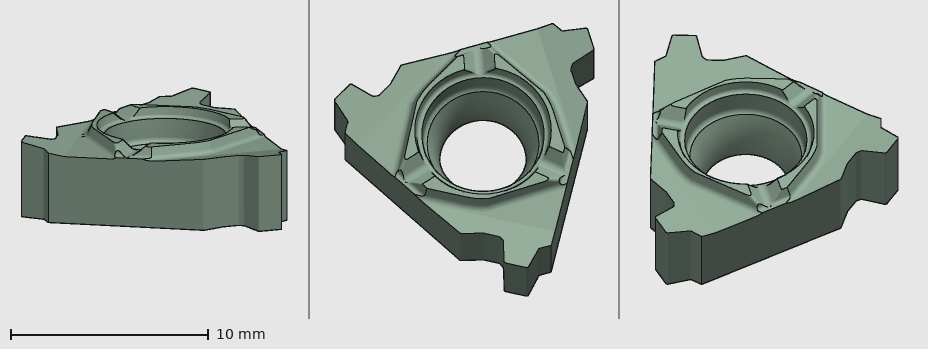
import cadquery as cq
import math

CORNERS = 3
PITCH_ANGLE = 360 / CORNERS

total_height = 4.1
floor_z = 3.51
side_strip_z = 3.59
ledge_z = 3.58
clearance = 0.67
reach = 9.37

side_distance = 4.75
shoulder_y = 5.11
shoulder_angle = 30
tooth_left_x = -3.91
tooth_tip_y = 6.68
tooth_tip_width = 1.23
left_flank_angle = 13
right_flank_angle = 15
left_tip_radius = 0.12
right_tip_radius = 0.11
left_root_radius = 0.11
right_flank_end_y = 5.44
root_y = 5.26
root_bevel_angle = 36
right_root_radius = 0.19
root_end_x = -1.27
crest_angle = 15
crest_radius = 0.11

rake_start_y = 4.3
rake_angle = 10
rake_blend_radius = 0.27

breaker_distance = 3.71
slanted_distance = 3.6
slanted_angle = 31.5
breaker_side_distance = 4.23
wall_lean = 25
wall_foot_radius = 0.33
side_foot_radius = 0.19

groove_angle = 77.5
groove_offset = 0.1
groove_flank_angle = 40
groove_radius = 0.35
groove_floor_width = 0.08
groove_start = 2.68

breaker_edge_roundings = [
    (0.16, (-4.15, 1.73, 4.03)),
    (0.05, (-4.32, 0.51, 3.9)),
]
recess_edge_roundings = [(0.07, (-3.39, 0.28, 3.91))]

recess_radius = 3.45
recess_foot_radius = 0.2
recess_lean = 15
bore_top_radius = 3.09
bore_bottom_radius = 3.03
bore_bottom_z = 2.61
seat_outer_radius = 2.83
seat_top_z = 2.34
seat_bottom_z = 0.27
hole_radius = 2.18


def sin(angle):
    return math.sin(math.radians(angle))


def cos(angle):
    return math.cos(math.radians(angle))


def tan(angle):
    return math.tan(math.radians(angle))


def turned(x, y, angle):
    return (x * cos(angle) - y * sin(angle), x * sin(angle) + y * cos(angle))


def around(shape, angle):
    return shape.rotate((0, 0, 0), (0, 0, 1), angle)


def at_every_corner(shape):
    copies = around(shape, 0)
    for i in range(1, CORNERS):
        copies = copies.union(around(shape, i * PITCH_ANGLE))
    return copies


def corner_points():
    """Sharp outline corners of the +Y tooth, clockwise, each with its rounding radius."""
    tip_left = tooth_left_x
    tip_right = tooth_left_x + tooth_tip_width
    left_rise = tooth_tip_y - shoulder_y - (tip_left + side_distance) * tan(shoulder_angle)
    left_drop = left_rise / (1 - tan(left_flank_angle) * tan(shoulder_angle))
    right_drop = tooth_tip_y - right_flank_end_y
    bevel_start_x = tip_right + right_drop * tan(right_flank_angle)
    bevel_end_x = bevel_start_x + (right_flank_end_y - root_y) / tan(root_bevel_angle)
    gap = side_distance - root_end_x * cos(60) - root_y * sin(60)
    crest_run = gap / (cos(60) + tan(crest_angle) * sin(60))
    return [
        (-side_distance, shoulder_y, 0),
        (tip_left - left_drop * tan(left_flank_angle), tooth_tip_y - left_drop, left_root_radius),
        (tip_left, tooth_tip_y, left_tip_radius),
        (tip_right, tooth_tip_y, right_tip_radius),
        (bevel_start_x, right_flank_end_y, right_root_radius),
        (bevel_end_x, root_y, right_root_radius),
        (root_end_x, root_y, 0),
        (root_end_x + crest_run, root_y + crest_run * tan(crest_angle), crest_radius),
    ]


def rounded_outline(points):
    """Closed outline through the given corners, with tangent arcs where a radius is set."""
    sketch = None
    for i, (x, y, radius) in enumerate(points):
        corner = cq.Vector(x, y)
        before = (cq.Vector(*points[i - 1][:2]) - corner).normalized()
        after = (cq.Vector(*points[(i + 1) % len(points)][:2]) - corner).normalized()
        half_angle = before.getAngle(after) / 2
        setback = radius / math.tan(half_angle)
        start = corner + before * setback
        sketch = sketch.lineTo(start.x, start.y) if sketch else cq.Workplane().moveTo(start.x, start.y)
        if radius > 0:
            bisector = (before + after).normalized()
            middle = corner + bisector * (radius / math.sin(half_angle) - radius)
            end = corner + after * setback
            sketch = sketch.threePointArc((middle.x, middle.y), (end.x, end.y))
    return sketch.close()


def insert_prism(height):
    points = []
    for i in range(CORNERS):
        for x, y, radius in corner_points():
            points.append((*turned(x, y, -i * PITCH_ANGLE), radius))
    return rounded_outline(points).extrude(height)


def rake_wedge():
    """Wedge under one rake face, blended into the flat field by a tangent arc."""
    setback = rake_blend_radius * tan(rake_angle / 2)
    arc_rise = rake_blend_radius * (1 - cos(rake_angle / 2))
    arc_run = rake_blend_radius * sin(rake_angle / 2)
    arc_start_y = rake_start_y - setback
    return (
        cq.Workplane("YZ", origin=(-reach, 0, 0))
        .moveTo(arc_start_y, 0)
        .lineTo(arc_start_y, floor_z)
        .threePointArc(
            (arc_start_y + arc_run, floor_z + arc_rise),
            (rake_start_y + setback * cos(rake_angle), floor_z + setback * sin(rake_angle)),
        )
        .lineTo(reach, floor_z + (reach - rake_start_y) * tan(rake_angle))
        .lineTo(reach, 0)
        .close()
        .extrude(2 * reach)
    )


def wall_profile(plane, distance, foot_z, foot_radius):
    """Space outside a leaning wall whose foot is rounded into the level foot_z."""
    foot_height = foot_radius * (1 - sin(wall_lean))
    bend_x = distance + (total_height - foot_z - foot_height) * tan(wall_lean)
    foot_x = bend_x + foot_radius * cos(wall_lean)
    mid_angle = (90 + wall_lean) / 2
    return (
        plane.moveTo(distance - clearance * tan(wall_lean), total_height + clearance)
        .lineTo(bend_x, foot_z + foot_height)
        .threePointArc(
            (foot_x - foot_radius * cos(mid_angle), foot_z + foot_radius * (1 - sin(mid_angle))),
            (foot_x, foot_z),
        )
        .lineTo(reach, foot_z)
        .lineTo(reach, total_height + clearance)
        .close()
    )


def breaker_cutters():
    """Space around the chip breaker for one corner."""
    plane = cq.Workplane("YZ")
    straight = wall_profile(plane, breaker_distance, floor_z, wall_foot_radius).extrude(reach)
    arc = wall_profile(plane, breaker_distance, floor_z, wall_foot_radius).revolve(
        slanted_angle, (0, 0, 0), (0, 1, 0)
    )
    centered = cq.Workplane("YZ", origin=(-reach, 0, 0))
    slanted = wall_profile(centered, slanted_distance, floor_z, wall_foot_radius).extrude(2 * reach)
    side = wall_profile(centered, breaker_side_distance, side_strip_z, side_foot_radius).extrude(2 * reach)
    return [straight, arc, around(slanted, slanted_angle), around(side, 90)]


def groove():
    """V groove with a narrow flat floor and rounded corners, running outwards from the recess."""
    floor_x = groove_floor_width / 2
    bend_x = floor_x + groove_radius * sin(groove_flank_angle)
    bend_z = side_strip_z + groove_radius * (1 - cos(groove_flank_angle))
    mid_x = floor_x + groove_radius * sin(groove_flank_angle / 2)
    mid_z = side_strip_z + groove_radius * (1 - cos(groove_flank_angle / 2))
    top_z = total_height + clearance
    top_x = bend_x + (top_z - bend_z) / tan(groove_flank_angle)
    cutter = (
        cq.Workplane("XZ", origin=(groove_offset, groove_start, 0))
        .moveTo(-top_x, top_z)
        .lineTo(-bend_x, bend_z)
        .threePointArc((-mid_x, mid_z), (-floor_x, side_strip_z))
        .lineTo(floor_x, side_strip_z)
        .threePointArc((mid_x, mid_z), (bend_x, bend_z))
        .lineTo(top_x, top_z)
        .close()
        .extrude(-reach)
    )
    return around(cutter, groove_angle)


def with_rounded_edges(shape, roundings):
    """Round each listed edge together with its turned copies."""
    for radius, (x, y, z) in roundings:
        edges = []
        for i in range(CORNERS):
            place = (*turned(x, y, i * PITCH_ANGLE), z)
            edges += shape.edges(cq.selectors.NearestToPointSelector(place)).vals()
        shape = shape.newObject(edges).fillet(radius)
    return shape


def chip_breaker():
    breaker = insert_prism(total_height).intersect(
        cq.Workplane(origin=(0, 0, floor_z)).rect(2 * reach, 2 * reach).extrude(total_height)
    )
    for cutter in [*breaker_cutters(), groove()]:
        for i in range(CORNERS):
            breaker = breaker.cut(around(cutter, i * PITCH_ANGLE))
    return with_rounded_edges(breaker, breaker_edge_roundings)


def screw_hole():
    """Recess, ledge, bore and rounded screw seat in one turned shape."""
    foot_height = recess_foot_radius * (1 - sin(recess_lean))
    bend_r = recess_radius - (total_height - ledge_z - foot_height) * tan(recess_lean)
    foot_r = bend_r - recess_foot_radius * cos(recess_lean)
    mid_angle = (90 + recess_lean) / 2
    seat_angle = 2 * math.degrees(math.atan((seat_outer_radius - hole_radius) / (seat_top_z - seat_bottom_z)))
    seat_round_radius = (seat_top_z - seat_bottom_z) / sin(seat_angle)
    half_seat = seat_angle / 2
    seat_mid = (
        hole_radius + seat_round_radius * (1 - cos(half_seat)),
        seat_bottom_z + seat_round_radius * sin(half_seat),
    )
    return (
        cq.Workplane("XZ")
        .moveTo(0, -clearance)
        .lineTo(0, total_height)
        .lineTo(recess_radius, total_height)
        .lineTo(bend_r, ledge_z + foot_height)
        .threePointArc(
            (foot_r + recess_foot_radius * cos(mid_angle), ledge_z + recess_foot_radius * (1 - sin(mid_angle))),
            (foot_r, ledge_z),
        )
        .lineTo(bore_top_radius, ledge_z)
        .lineTo(bore_bottom_radius, bore_bottom_z)
        .tangentArcPoint((seat_outer_radius, seat_top_z), relative=False)
        .threePointArc(seat_mid, (hole_radius, seat_bottom_z))
        .lineTo(hole_radius, -clearance)
        .close()
        .revolve(360, (0, 0, 0), (0, 1, 0))
    )


base = insert_prism(floor_z)
rake_faces = insert_prism(total_height).intersect(at_every_corner(rake_wedge()))
insert = base.union(rake_faces).union(chip_breaker()).cut(screw_hole())
result = with_rounded_edges(insert, recess_edge_roundings)